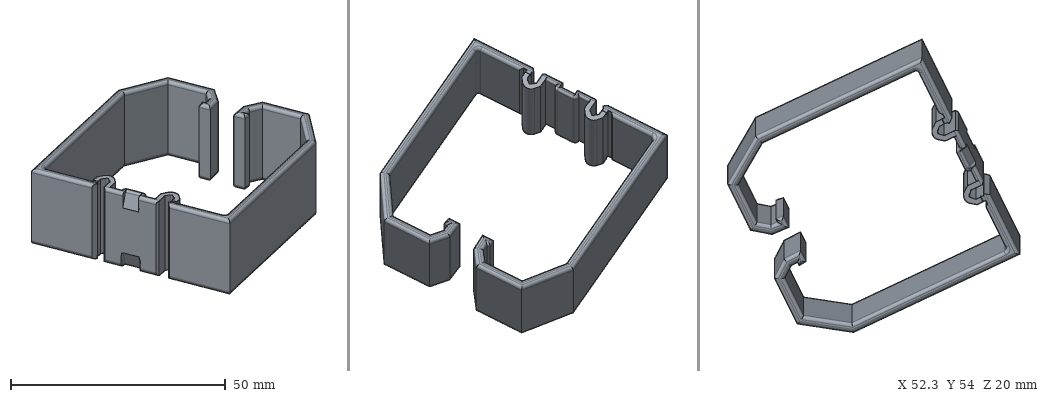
import cadquery as cq
import math

length = 54.0
width = 52.3
height = 20.0
half_width = width / 2
front_y = -length / 2
back_y = length / 2

wall = 2.2
edge_radius = 0.85
corner_radius = 0.75
shoulder_y = 16.1
back_outer_x = 18.65
back_inner_x = 6.3
neck_x = 3.25
neck_y = 22.95

barb_inner_x = 3.1
barb_outer_x = 6.05
barb_tip_x = 6.25
barb_bottom_y = 18.65
barb_top_y = 20.5

loop_x = 8.5
slot_half_width = 1.25
loop_wall = 1.3
slot_shoulder_y = -23.55
slot_rise = slot_half_width
slot_tip_radius = 0.45
loop_shoulder_y = -23.2
loop_rise = 3.35
loop_tip_radius = 2.0
loop_half_width = slot_half_width + loop_wall

relief_start_x = 12.65
relief_depth = 0.7

lip_x = 9.35
lip_depth = 1.15
arm_mouth_x = 10.2
panel_mouth_x = 6.7

panel = 1.5
panel_inner_radius = 0.6
panel_half_width = loop_x - slot_half_width
rib_half_width = 3.15
rib_depth = 2.65
rib_corner_radius = 1.0

tab_half_width = 2.05
notch_half_width = 2.5
notch_corner_radius = 0.45
ramp_height = 4.0
ramp_depth = 1.3
ramp_land = 0.45
crest_depth = 1.95

overcut = 0.55


def prism(points):
    return cq.Workplane("XY").polyline(points).close().extrude(height)


def inner_corner(before, corner, after):
    """Point one wall thickness to the right of a bend in the outer path."""
    turn_in = math.atan2(corner[1] - before[1], corner[0] - before[0])
    turn_out = math.atan2(after[1] - corner[1], after[0] - corner[0])
    bisector = (turn_in + turn_out) / 2 - math.pi / 2
    reach = wall / math.cos((turn_out - turn_in) / 2)
    return (corner[0] + reach * math.cos(bisector), corner[1] + reach * math.sin(bisector))


def make_arm():
    """Left arm: front wall, side wall, bevelled back and barb."""
    outer = [
        (-loop_x, front_y),
        (-half_width, front_y),
        (-half_width, shoulder_y),
        (-back_outer_x, back_y),
        (-back_inner_x, back_y),
        (-neck_x, neck_y),
        (-barb_inner_x, barb_bottom_y),
    ]
    inner = [inner_corner(*bend) for bend in zip(outer[:-2], outer[1:-1], outer[2:])]
    neck_run = (barb_inner_x - neck_x) / (barb_bottom_y - neck_y)
    barb_root_x = inner[-1][0] + neck_run * (inner[-1][1] - barb_top_y)
    barb = [(-barb_outer_x, barb_bottom_y), (-barb_tip_x, barb_top_y), (barb_root_x, barb_top_y)]
    arm = prism(outer + barb + inner[::-1] + [(-loop_x, front_y + wall)])

    front_corner = cq.selectors.NearestToPointSelector((*inner[0], height / 2))
    arm = arm.edges(front_corner).fillet(corner_radius)
    rims = [
        edge for edge in arm.faces("<Z or >Z").edges().vals()
        if edge.Center().x < -loop_x - 0.005 or edge.Center().y > 0
    ]
    arm = arm.newObject(rims)
    return arm.fillet(edge_radius).cut(make_arm_mouth()).cut(make_relief())


def make_arm_mouth():
    """Trims the loop-side end of the left arm to a pointed lip."""
    slot_x = loop_x + slot_half_width
    lip_y = front_y + lip_depth
    slope = (arm_mouth_x - lip_x) / lip_depth
    lip_back_y = lip_y + slot_x - lip_x
    return prism([
        (-arm_mouth_x - slope * overcut, front_y - overcut),
        (-lip_x, lip_y),
        (-slot_x, lip_back_y),
        (-slot_x, front_y + wall + overcut),
        (-loop_x + overcut, front_y + wall + overcut),
        (-loop_x + overcut, front_y - overcut),
    ])


def make_relief():
    """Thins the inside of the left arm from a 45 degree ramp up to the loop."""
    inside_y = front_y + wall
    loop_side_x = -loop_x - loop_half_width
    return prism([
        (-relief_start_x - overcut, inside_y + overcut),
        (-relief_start_x + relief_depth, inside_y - relief_depth),
        (loop_side_x, inside_y - relief_depth),
        (loop_side_x, inside_y + overcut),
    ])


def gable(half, shoulder_y, rise, tip_radius, arm_foot_y, panel_foot_y):
    """Left-hand post whose gable rises by `rise` to a rounded ridge, each leg with its own foot."""
    arm_leg = [(-loop_x, arm_foot_y), (-loop_x - half, arm_foot_y)]
    roof = [
        (-loop_x - half, shoulder_y),
        (-loop_x, shoulder_y + rise),
        (-loop_x + half, shoulder_y),
    ]
    panel_leg = [(-loop_x + half, panel_foot_y)]
    if panel_foot_y != arm_foot_y:
        panel_leg.append((-loop_x, panel_foot_y))
    shape = prism(arm_leg + roof + panel_leg)
    ridge = cq.selectors.NearestToPointSelector((-loop_x, shoulder_y + rise, height / 2))
    return shape.edges(ridge).fillet(tip_radius)


def make_loop():
    """Left hinge loop, standing on the arm and on the rounded rim of the panel."""
    arm_foot_y = front_y + wall
    panel_foot_y = front_y + edge_radius
    post = gable(
        loop_half_width, loop_shoulder_y, loop_rise, loop_tip_radius, arm_foot_y, panel_foot_y
    )
    below_y = front_y - overcut
    slot = gable(slot_half_width, slot_shoulder_y, slot_rise, slot_tip_radius, below_y, below_y)
    return post.cut(slot)


def make_panel():
    """Centre panel with chamfered front corners and the rib behind it."""
    chamfer = panel_half_width - panel_mouth_x
    inside_y = front_y + panel
    rib_y = front_y + rib_depth
    rib_flat = rib_half_width - rib_corner_radius
    rib_side_y = rib_y - rib_corner_radius
    bulge = rib_corner_radius * math.sqrt(0.5)
    body = (
        cq.Workplane("XY")
        .moveTo(-panel_half_width, front_y)
        .lineTo(panel_half_width, front_y)
        .lineTo(panel_half_width, inside_y)
        .lineTo(rib_half_width, inside_y)
        .lineTo(rib_half_width, rib_side_y)
        .threePointArc((rib_flat + bulge, rib_side_y + bulge), (rib_flat, rib_y))
        .lineTo(-rib_flat, rib_y)
        .threePointArc((-rib_flat - bulge, rib_side_y + bulge), (-rib_half_width, rib_side_y))
        .lineTo(-rib_half_width, inside_y)
        .lineTo(-panel_half_width, inside_y)
        .close()
        .extrude(height)
    )
    inner_rims = [
        edge for edge in body.faces("<Z or >Z").edges().vals()
        if edge.Center().y > inside_y - 0.005
    ]
    body = body.newObject(inner_rims).fillet(panel_inner_radius)
    body = body.faces("<Y").edges("|X").fillet(edge_radius)
    for side in (-1, 1):
        corner = prism([
            (side * (panel_mouth_x - overcut), front_y - overcut),
            (side * (panel_half_width + overcut), front_y - overcut),
            (side * (panel_half_width + overcut), front_y + chamfer + overcut),
        ])
        body = body.cut(corner)
    return body


def make_ramp_cutter(half):
    """Wedge in front of a ramp leaning back towards the top, over a rounded crest."""
    slope = ramp_depth / (ramp_height - ramp_land)
    land_y = front_y + ramp_depth
    land_z = height - ramp_land
    crest_y = front_y + crest_depth
    crest_run = crest_y - land_y
    crest_radius = (crest_run**2 + ramp_land**2) / (2 * ramp_land)
    half_angle = math.asin(crest_run / crest_radius) / 2
    crest_middle = (
        crest_y - crest_radius * math.sin(half_angle),
        height - crest_radius * (1 - math.cos(half_angle)),
    )
    return (
        cq.Workplane("YZ")
        .moveTo(front_y - overcut, height - ramp_height - overcut / slope)
        .lineTo(land_y, land_z)
        .threePointArc(crest_middle, (crest_y, height))
        .lineTo(crest_y, height + overcut)
        .lineTo(front_y - overcut, height + overcut)
        .close()
        .extrude(half, both=True)
    )


def make_notch_cutter():
    """Notch at the bottom: the tab wedge turned over, wider and with rounded inner corners."""
    cutter = make_ramp_cutter(notch_half_width)
    ramp_middle = (front_y + ramp_depth / 2, height - ramp_height / 2)
    ramp_sides = [
        cutter.edges(cq.selectors.NearestToPointSelector((side * notch_half_width, *ramp_middle))).val()
        for side in (-1, 1)
    ]
    cutter = cutter.newObject(ramp_sides).fillet(notch_corner_radius)
    return cutter.mirror("XY").translate((0, 0, height))


left = make_arm().union(make_loop())
result = (
    make_panel()
    .union(left)
    .union(left.mirror("YZ"))
    .cut(make_ramp_cutter(tab_half_width))
    .cut(make_notch_cutter())
)